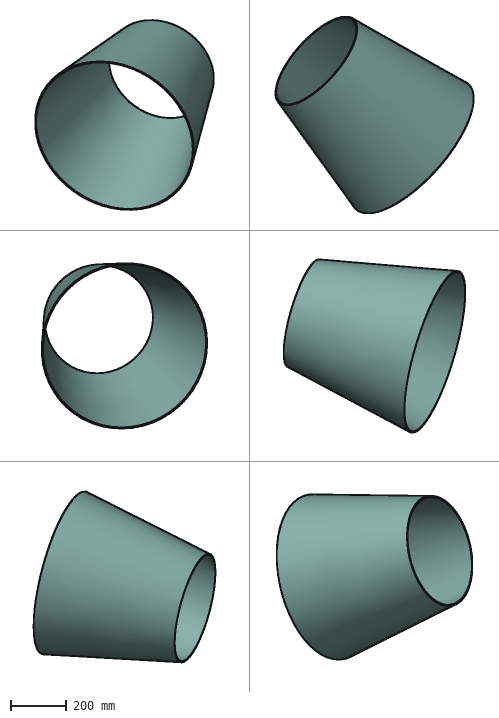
import cadquery as cq

large_diameter = 609.5
small_diameter = 406.5
length = 508.0
wall = 5.1


def cone_frustum(start_radius, end_radius):
    """Solid of revolution about Y, from the large end at -Y to the small end at +Y."""
    half_length = length / 2
    return (
        cq.Workplane("XY")
        .moveTo(0, -half_length)
        .lineTo(start_radius, -half_length)
        .lineTo(end_radius, half_length)
        .lineTo(0, half_length)
        .close()
        .revolve(360, (0, 0, 0), (0, 1, 0))
    )


large_radius = large_diameter / 2
small_radius = small_diameter / 2

outer_cone = cone_frustum(large_radius, small_radius)
bore = cone_frustum(large_radius - wall, small_radius - wall)

result = outer_cone.cut(bore)